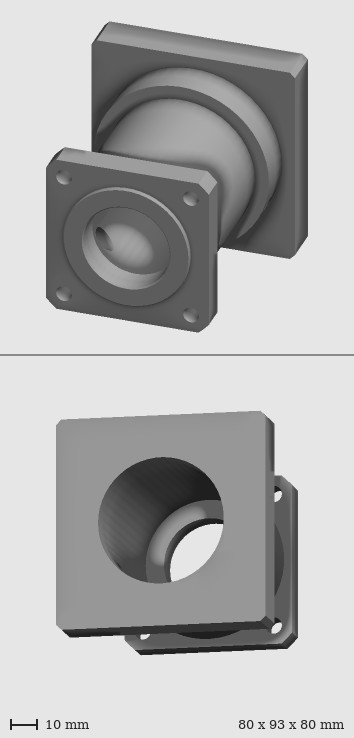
import cadquery as cq

overall_length = 93.0

plate_size = 80.0
plate_thickness = 15.0
plate_corner_chamfer = 2.0

collar_diameter = 69.0
collar_length = 14.0
groove_diameter = 70.0
groove_depth = 0.5

flange_size = 64.0
flange_thickness = 10.0
flange_corner_diameter = 85.0
bolt_spacing = 50.0
bolt_hole_diameter = 6.2

boss_diameter = 50.0
boss_height = 1.5
edge_chamfer = 0.5

tube_diameter = 58.0
front_bore_diameter = 34.0
front_bore_depth = 11.0
main_bore_diameter = 48.0

cross_hole_diameter = 8.0
cross_hole_z = -15.0
tube_cross_hole_from_front = 28.75
collar_cross_hole_from_front = 70.75

flange_front = boss_height
flange_back = flange_front + flange_thickness
plate_back = overall_length
plate_front = plate_back - plate_thickness
collar_front = plate_front - collar_length
cross_hole_positions = (tube_cross_hole_from_front, collar_cross_hole_from_front)


def plane_at(y):
    """Sketch plane at y whose normal points along +Y."""
    return cq.Workplane(cq.Plane(origin=(0, y, 0), xDir=(1, 0, 0), normal=(0, 1, 0)))


def cylinder(diameter, y_start, y_end):
    return plane_at(y_start).circle(diameter / 2).extrude(y_end - y_start)


def square_block(size, y_start, y_end):
    return plane_at(y_start).rect(size, size).extrude(y_end - y_start)


def make_plate():
    plate = square_block(plate_size, plate_front, plate_back)
    plate = plate.edges("|Y").chamfer(plate_corner_chamfer)
    return plate.cut(cylinder(groove_diameter, plate_front, plate_front + groove_depth))


def make_flange():
    flange = square_block(flange_size, flange_front, flange_back)
    flange = flange.intersect(cylinder(flange_corner_diameter, flange_front, flange_back))
    bolt_holes = (
        plane_at(flange_front)
        .rect(bolt_spacing, bolt_spacing, forConstruction=True)
        .vertices()
        .circle(bolt_hole_diameter / 2)
        .extrude(flange_thickness)
    )
    return flange.cut(bolt_holes)


def make_boss():
    boss = cylinder(boss_diameter, 0, flange_front)
    return boss.faces("<Y").edges().chamfer(edge_chamfer)


def make_bore():
    """Narrow front bore with a chamfered mouth, opening into the main bore."""
    front_bore = cylinder(front_bore_diameter, 0, front_bore_depth)
    mouth = (
        plane_at(0)
        .circle(front_bore_diameter / 2 + edge_chamfer)
        .workplane(offset=edge_chamfer)
        .circle(front_bore_diameter / 2)
        .loft(ruled=True)
    )
    main_bore = cylinder(main_bore_diameter, front_bore_depth, plate_back)
    return front_bore.union(mouth).union(main_bore)


def make_cross_hole(y):
    return (
        cq.Workplane("YZ", origin=(-plate_size / 2, 0, 0))
        .center(y, cross_hole_z)
        .circle(cross_hole_diameter / 2)
        .extrude(plate_size)
    )


body = make_plate()
body = body.union(cylinder(collar_diameter, collar_front, plate_front + groove_depth))
body = body.union(cylinder(tube_diameter, flange_back, collar_front))
body = body.union(make_flange())
body = body.union(make_boss())
body = body.cut(make_bore())
for hole_y in cross_hole_positions:
    body = body.cut(make_cross_hole(hole_y))

result = body